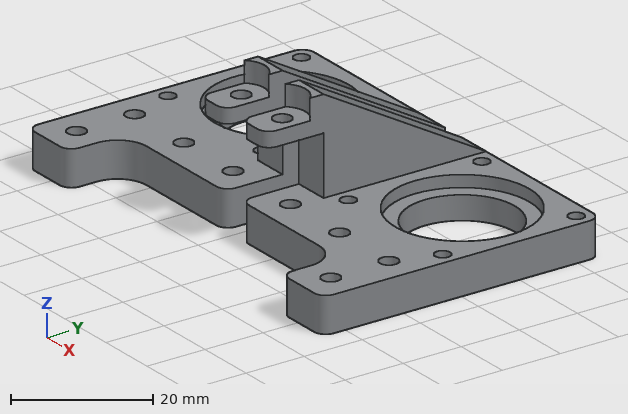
import cadquery as cq


gap = 4.0
plate_width = 34.0
plate_length = 48.0
plate_thickness = 6.0
leg_width = 10.0
leg_length = 10.0
leg_fillet = 5.0
corner_radius = 2.0

inner_x = gap / 2
outer_x = inner_x + plate_width
leg_x = outer_x - leg_width
step_y = -(plate_length - leg_length)

bore_diameter = 18.0
recess_diameter = 23.0
recess_depth = 2.0
motor_inset = 14.0
motor_hole_pitch = 23.0
motor_hole_diameter = 2.5
motor_x = outer_x - motor_inset
motor_y = -motor_inset

mount_hole_diameter = 3.0
mount_row_count = 3
mount_pitch_x = 12.0
mount_pitch_y = 10.0
mount_inset = 5.0
mount_x = outer_x - mount_inset
mount_y = step_y + mount_inset

arm_width = 6.0
arm_length = 28.0
arm_height = 22.0
tab_bottom = 16.0
tab_top = 18.5
tab_corner_radius = corner_radius
screw_head_radius = 4.0
arm_x = inner_x + arm_width / 2


def make_plate():
    outline = [
        (inner_x, 0),
        (outer_x, 0),
        (outer_x, -plate_length),
        (leg_x, -plate_length),
        (leg_x, step_y),
        (inner_x, step_y),
    ]
    plate = cq.Workplane("XY").polyline(outline).close().extrude(plate_thickness)

    def corner_edge(x, y):
        return cq.selectors.NearestToPointSelector((x, y, plate_thickness / 2))

    rounded_corners = [
        (outer_x, 0),
        (outer_x, -plate_length),
        (leg_x, -plate_length),
        (inner_x, step_y),
    ]
    for x, y in rounded_corners:
        plate = plate.edges("|Z").edges(corner_edge(x, y)).fillet(corner_radius)
    return plate.edges("|Z").edges(corner_edge(leg_x, step_y)).fillet(leg_fillet)


def cut_motor_seat(plate):
    seat = plate.faces(">Z").workplane(origin=(motor_x, motor_y, 0))
    plate = seat.cboreHole(bore_diameter, recess_diameter, recess_depth)
    screws = plate.faces(">Z").workplane(origin=(motor_x, motor_y, 0))
    screws = screws.rect(motor_hole_pitch, motor_hole_pitch, forConstruction=True).vertices()
    return screws.hole(motor_hole_diameter)


def cut_mounting_holes(plate):
    row = [(mount_x - i * mount_pitch_x, mount_y) for i in range(mount_row_count)]
    leg_hole = (mount_x, mount_y - mount_pitch_y)
    holes = plate.faces(">Z").workplane(origin=(0, 0, 0)).pushPoints(row + [leg_hole])
    return holes.hole(mount_hole_diameter)


def make_arm():
    rib = (
        cq.Workplane("YZ", origin=(inner_x, 0, 0))
        .polyline([(0, plate_thickness), (-arm_length, plate_thickness), (-arm_length, arm_height)])
        .close()
        .extrude(arm_width)
    )
    tab_length = -step_y - arm_length
    tab = (
        cq.Workplane("XY", origin=(arm_x, step_y + tab_length / 2, tab_bottom))
        .box(arm_width, tab_length, arm_height - tab_bottom, centered=(True, True, False))
        .edges("|Z and <Y")
        .fillet(tab_corner_radius)
    )
    clearance = (
        cq.Workplane("XY", origin=(arm_x, mount_y, tab_top))
        .moveTo(-screw_head_radius, 0)
        .threePointArc((0, screw_head_radius), (screw_head_radius, 0))
        .lineTo(screw_head_radius, step_y - mount_y)
        .lineTo(-screw_head_radius, step_y - mount_y)
        .close()
        .extrude(arm_height - tab_top)
    )
    screw_hole = (
        cq.Workplane("XY", origin=(arm_x, mount_y, tab_bottom))
        .circle(mount_hole_diameter / 2)
        .extrude(tab_top - tab_bottom)
    )
    return rib.union(tab).cut(clearance).cut(screw_hole)


def make_bracket():
    plate = cut_mounting_holes(cut_motor_seat(make_plate()))
    return plate.union(make_arm())


right_bracket = make_bracket()
left_bracket = right_bracket.mirror("YZ")

result = cq.Compound.makeCompound([right_bracket.val(), left_bracket.val()])